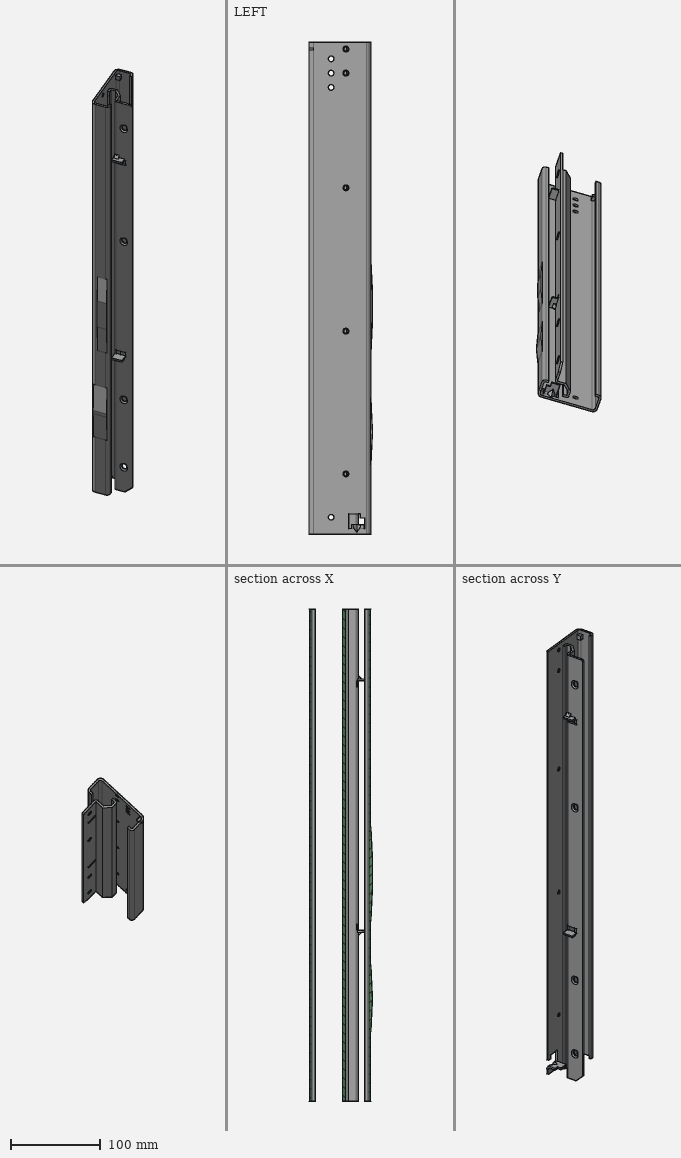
import cadquery as cq
import math

length = 550.0
sheet = 2.5

channel_width = 22.0
channel_depth = 69.5
web_bend = 5.2
lip_bend = 4.0
lip_height = 7.0

plain_hole_y = 44.5
plain_hole_heights = [19.0, 499.5, 515.5, 531.5]
plain_hole_diameter = 6.0
screw_hole_y = 28.0
screw_hole_heights = [67.5, 227.0, 387.0, 515.5, 542.5]
screw_hole_diameter = 4.5
screw_head_diameter = 6.5

window_low, window_step, window_high = 6.5, 12.0, 25.0
tab_top = 11.0
long_tab_window_top = 23.0
short_tab_window_top = 18.0
window_bottom = 6.5
tab_bend = tab_top - window_bottom
long_tab_reach = 16.5
short_tab_reach = 11.5
tab_low, tab_high = 7.5, 22.0
tab_dent_y = 16.0
tab_dent_reach = 6.0

dimple_z = 542.5
dimple_height = 5.5
dimple_x = 7.5
dimple_y = 6.5
dimple_wall = 1.5

ramp_rise = 1.5
ramp_right = 20.0
long_ramp = {"left": 8.0, "bottom": 202.0, "crest": (236.5, 273.5), "top": 306.5}
short_ramp = {"left": 3.5, "bottom": 78.0, "crest": (112.0, 116.5), "top": 152.5}

hook_x = 8.0
hook_tip_y = 27.5
hook_back_y = 34.0
hook_bend = 2.0
slope_x = 17.0
slope_y = 26.5
rail_web_x = 22.0
flange_y = 14.0
rail_edge_x = 44.5
rail_bend = 3.5
slope_inset = 1.0
flange_end_chamfer = 9.0
flange_end_radius = 2.0

mount_hole_x = 34.0
mount_hole_heights = [34.5, 130.5, 355.0, 515.0]
mount_hole_diameter = 5.5
mount_hole_elongation = 1.5
countersink_width = 1.5
countersink_depth = 1.5

flange_tabs = [(469.5, 1), (191.5, -1)]
slot_left, slot_right = 22.5, 36.5
slot_height = 6.5
flange_tab_right = 35.0
flange_tab_length = 7.0
flange_tab_corner = 1.5
gusset_x = 26.0
gusset_width = 5.5
gusset_leg = 3.5


def block(x_range, y_range, z_range):
    (x0, x1), (y0, y1), (z0, z1) = x_range, y_range, z_range
    return cq.Workplane("XY").box(x1 - x0, y1 - y0, z1 - z0, centered=False).translate((x0, y0, z0))


def channel_sheet():
    """C-shaped sheet with rounded bends."""
    outside = block((0, channel_width), (0, channel_depth), (0, length))
    outside = outside.edges("|Z and <X").fillet(web_bend).edges("|Z and >X").fillet(lip_bend)
    inside = block((sheet, channel_width - sheet), (sheet, channel_depth - sheet), (0, length))
    inside = inside.edges("|Z and <X").fillet(web_bend - sheet)
    inside = inside.edges("|Z and >X").fillet(lip_bend - sheet)
    mouth = block(
        (channel_width - sheet, channel_width), (lip_height, channel_depth - lip_height), (0, length)
    )
    return outside.cut(inside).cut(mouth)


def plain_holes():
    centers = [(plain_hole_y, z) for z in plain_hole_heights]
    return cq.Workplane("YZ").pushPoints(centers).circle(plain_hole_diameter / 2).extrude(sheet)


def screw_hole(z):
    """Hole through the web, widened by a 90 degree cone on the -X side."""
    through_radius = screw_hole_diameter / 2
    head_radius = screw_head_diameter / 2
    depth = head_radius - through_radius
    start, axis = cq.Vector(0, screw_hole_y, z), cq.Vector(1, 0, 0)
    cone = cq.Solid.makeCone(head_radius, through_radius, depth, start, axis)
    return cq.Workplane(cq.Solid.makeCylinder(through_radius, sheet, start, axis).fuse(cone))


def tab_window():
    long_part = block((0, sheet), (window_step, window_high), (window_bottom, long_tab_window_top))
    short_part = block((0, sheet), (window_low, window_step), (window_bottom, short_tab_window_top))
    return long_part.union(short_part)


def tab_strip(reach, y_range):
    """Strip that curves from the web below the window to horizontal."""
    diagonal = math.sqrt(0.5)
    inner_bend = tab_bend - sheet
    outer_mid = (tab_bend * (1 - diagonal), window_bottom + tab_bend * diagonal)
    inner_mid = (tab_bend - inner_bend * diagonal, window_bottom + inner_bend * diagonal)
    side = (
        cq.Workplane("XZ", origin=(0, y_range[0], 0))
        .moveTo(0, window_bottom)
        .threePointArc(outer_mid, (tab_bend, tab_top))
        .lineTo(reach, tab_top)
        .lineTo(reach, tab_top - sheet)
        .lineTo(tab_bend, tab_top - sheet)
        .threePointArc(inner_mid, (sheet, window_bottom))
        .close()
    )
    return side.extrude(y_range[0] - y_range[1])


def stop_tab():
    """Tab with a long and a short part, bent as one."""
    long_part = tab_strip(long_tab_reach, (window_step, tab_high))
    return long_part.union(tab_strip(short_tab_reach, (tab_low, window_step)))


def tab_dent(reach):
    """Slanted square bar, edge first, across the outer corner of the stop tab's bend."""
    slant = cq.Plane(origin=(0, tab_dent_y, tab_top), xDir=(0, 1, 0), normal=(1, 0, 1))
    return cq.Workplane(slant).polygon(4, 2 * reach).extrude(2 * reach, both=True)


def tab_bulge():
    """Inner side of the dent, one sheet thickness behind it."""
    corner = block((0, long_tab_reach), (tab_low, tab_high), (0, tab_top))
    corner = corner.edges("|Y and <X and >Z").fillet(tab_bend)
    return tab_dent(tab_dent_reach + sheet).intersect(corner)


def dimple_block(reach_x, reach_y, height):
    """Block in the +Y web bend, measured from the outer corner of that bend."""
    y_range = (channel_depth - reach_y, channel_depth)
    return block((0, reach_x), y_range, (dimple_z - height / 2, dimple_z + height / 2))


def dimple_bulge():
    """Inner side of the dimple, trimmed to the outside of the bend."""
    outside = block((0, channel_width), (0, channel_depth), (0, length))
    outside = outside.edges("|Z and <X").fillet(web_bend)
    return dimple_block(dimple_x, dimple_y, dimple_height).intersect(outside)


def dimple_recess():
    """Outer side of the dimple, one wall behind its inner side."""
    return dimple_block(dimple_x - dimple_wall, dimple_y - dimple_wall, dimple_height - 2 * dimple_wall)


def ramp(left, bottom, crest, top):
    """Bump on the -Y flange that rises to a flat crest."""
    root = sheet / 2
    side = [
        (root, bottom),
        (0, bottom),
        (-ramp_rise, crest[0]),
        (-ramp_rise, crest[1]),
        (0, top),
        (root, top),
    ]
    return cq.Workplane("YZ", origin=(left, 0, 0)).polyline(side).close().extrude(ramp_right - left)


def make_channel():
    """Channel with its dimple, holes, stop tab and ramps."""
    body = channel_sheet().union(dimple_bulge()).cut(dimple_recess())
    body = body.cut(plain_holes())
    for z in screw_hole_heights:
        body = body.cut(screw_hole(z))
    body = body.cut(tab_window()).union(stop_tab())
    body = body.union(tab_bulge()).cut(tab_dent(tab_dent_reach))
    for sizes in (long_ramp, short_ramp):
        body = body.union(ramp(**sizes))
    return body


def round_bend(body, x, y, radius):
    """Round the upright edge at (x, y)."""
    corner = cq.selectors.NearestToPointSelector((x, y, length / 2))
    return body.edges(corner).fillet(radius)


def rail_sheet():
    """Hook, slope, web and flange in one bent sheet, with the flange corners trimmed."""
    web_right = rail_web_x + sheet
    outline = [
        (hook_x, hook_tip_y),
        (hook_x, hook_back_y),
        (slope_x, hook_back_y),
        (web_right, slope_y),
        (web_right, flange_y + sheet),
        (rail_edge_x, flange_y + sheet),
        (rail_edge_x, flange_y),
        (rail_web_x, flange_y),
        (rail_web_x, slope_y - slope_inset),
        (slope_x - slope_inset, hook_back_y - sheet),
        (hook_x + sheet, hook_back_y - sheet),
        (hook_x + sheet, hook_tip_y),
    ]
    body = cq.Workplane("XY").polyline(outline).close().extrude(length)
    body = round_bend(body, hook_x, hook_back_y, hook_bend)
    body = round_bend(body, rail_web_x, flange_y, rail_bend)
    body = body.edges("|Y and >X and <Z").chamfer(flange_end_chamfer)
    return body.edges("|Y and >X and >Z").fillet(flange_end_radius)


def mount_hole(z):
    """Upright obround hole with a conical countersink on the -Y side."""
    face = cq.Workplane("XZ", origin=(mount_hole_x, flange_y, z))
    hole = face.slot2D(mount_hole_diameter + mount_hole_elongation, mount_hole_diameter, 90).extrude(-sheet)
    wide = mount_hole_diameter + 2 * countersink_width
    taper = math.degrees(math.atan2(countersink_width, countersink_depth))
    sink = face.slot2D(wide + mount_hole_elongation, wide, 90).extrude(-countersink_depth, taper=taper)
    return hole.union(sink)


def flange_slot(edge, direction):
    far_edge = edge - direction * slot_height
    z_range = (min(edge, far_edge), max(edge, far_edge))
    return block((slot_left, slot_right), (flange_y, flange_y + sheet), z_range)


def flange_tab(edge, direction):
    """Tab standing out towards -Y from one slot edge, with a gusset in its corner."""
    root = flange_y + sheet
    tip = flange_y - flange_tab_length
    tab = cq.Workplane("XY").box(flange_tab_right - slot_left, root - tip, sheet, centered=False)
    tab = tab.edges("|Z and >X and <Y").fillet(flange_tab_corner).translate((slot_left, tip, 0))
    side = [
        (flange_y, sheet),
        (flange_y - gusset_leg, sheet),
        (flange_y, sheet + gusset_leg),
    ]
    gusset = cq.Workplane("YZ", origin=(gusset_x - gusset_width / 2, 0, 0)).polyline(side).close()
    tab = tab.union(gusset.extrude(gusset_width))
    if direction < 0:
        tab = tab.mirror("XY")
    return tab.translate((0, 0, edge))


def make_rail():
    """Rail with its mounting holes and bent tabs."""
    body = rail_sheet()
    for z in mount_hole_heights:
        body = body.cut(mount_hole(z))
    for edge, direction in flange_tabs:
        body = body.cut(flange_slot(edge, direction)).union(flange_tab(edge, direction))
    return body


channel = make_channel()
rail = make_rail()
result = cq.Compound.makeCompound([channel.solids().val(), rail.solids().val()])